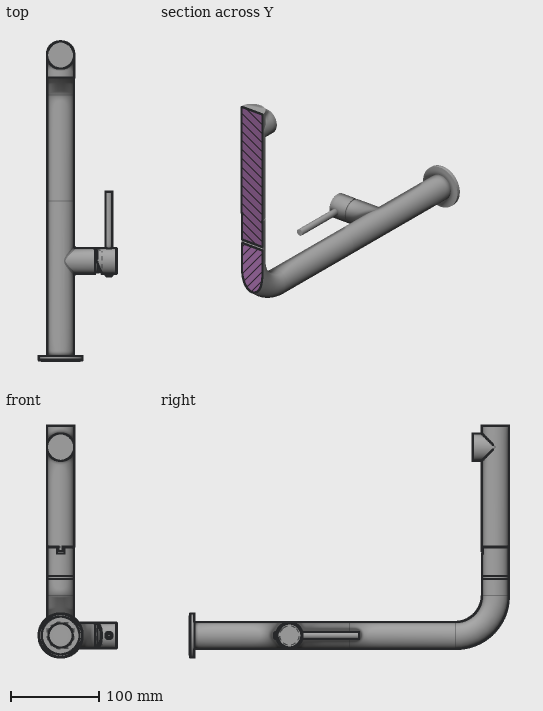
import cadquery as cq
import math


OVERALL_Y = 361.5

FLANGE_RADIUS = 25.0
FLANGE_THICKNESS = 5.0
FLANGE_CHAMFER = 0.7
SEAT_RADIUS = 21.5
SEAT_HEIGHT = 0.7
SEAT_RECESS_RADIUS = 13.7
SEAT_RECESS_DEPTH = 0.5

PIPE_RADIUS = 30.7 / 2
COLUMN_END_Y = 181.0
BEND_RADIUS = 45.0
SPOUT_TOP_Z = 99.5

HEAD_RADIUS = 15.5
SPOUT_AXIS_Y = OVERALL_Y - HEAD_RADIUS
HEAD_TOP_Z = 237.0
HEAD_BOTTOM_Z = 100.8
OUTLET_DROP = 24.2
OUTLET_REACH = 25.5
SPIGOT_RADIUS = 29.3 / 2
SPIGOT_BOTTOM_Z = 67.2
SOCKET_BOTTOM_Z = 63.5
KEY_WIDTH = 4.5
KEY_BOTTOM_Z = 95.5
NOTCH_WIDTH = 8.5
NOTCH_BOTTOM_Z = 92.5

VALVE_Y = 113.0
VALVE_RADIUS = 29.3 / 2
VALVE_END_X = 38.5
VALVE_FILLET = 1.5
NECK_RADIUS = 13.5
NECK_STRAIGHT_END_X = 42.0
NECK_TIP_X = 46.5
NECK_TIP_RADIUS = 11.0

CAP_START_X = 40.5
CAP_END_X = 63.5
CAP_CHAMFER = 1.0
CAP_RELIEF_X = 46.5
LEVER_X = 54.5
LEVER_RADIUS = 4.0
LEVER_TIP_Y = 191.5
LEVER_STUB = 3.0
LEVER_STUB_CHAMFER = 1.8


def cylinder(radius, length, start, direction):
    """A solid cylinder from a start point along a direction."""
    return cq.Workplane(cq.Solid.makeCylinder(radius, length, cq.Vector(*start), cq.Vector(*direction)))


def make_key_block(width, bottom_z):
    """A block on the -Y side of the spout, wide enough to reach through the pipe wall."""
    height = HEAD_BOTTOM_Z - bottom_z
    return cq.Workplane("XY").box(width, HEAD_RADIUS, height, centered=(True, False, False)).translate(
        (0, SPOUT_AXIS_Y - HEAD_RADIUS, bottom_z)
    )


def make_flange():
    seat = cylinder(SEAT_RADIUS, SEAT_HEIGHT, (0, 0, 0), (0, 1, 0))
    plate = cylinder(FLANGE_RADIUS, FLANGE_THICKNESS, (0, SEAT_HEIGHT, 0), (0, 1, 0))
    plate = plate.faces("<Y").chamfer(FLANGE_CHAMFER)
    recess = cylinder(SEAT_RECESS_RADIUS, SEAT_RECESS_DEPTH, (0, 0, 0), (0, 1, 0))
    return plate.union(seat).cut(recess)


def make_column():
    """Straight pipe with the valve branching off at right angles, blended at the root."""
    start_y = SEAT_HEIGHT + FLANGE_THICKNESS / 2
    column = cylinder(PIPE_RADIUS, COLUMN_END_Y - start_y, (0, start_y, 0), (0, 1, 0))
    valve = cylinder(VALVE_RADIUS, VALVE_END_X, (0, VALVE_Y, 0), (1, 0, 0))
    root_box = cq.selectors.BoxSelector(
        (0, VALVE_Y - PIPE_RADIUS, -PIPE_RADIUS),
        (PIPE_RADIUS, VALVE_Y + PIPE_RADIUS, PIPE_RADIUS),
    )
    return column.union(valve).edges(root_box).fillet(VALVE_FILLET)


def make_neck():
    """The part of the valve that shows in the gap and enters the cap."""
    return (
        cq.Workplane("XY")
        .moveTo(VALVE_END_X, 0)
        .lineTo(VALVE_END_X, NECK_RADIUS)
        .lineTo(NECK_STRAIGHT_END_X, NECK_RADIUS)
        .lineTo(NECK_TIP_X, NECK_TIP_RADIUS)
        .lineTo(NECK_TIP_X, 0)
        .close()
        .revolve(360, (0, 0, 0), (1, 0, 0))
        .translate((0, VALVE_Y, 0))
    )


def make_spout():
    """Bent pipe with a socket and a key notch for the spray head."""
    bend_start_y = SPOUT_AXIS_Y - BEND_RADIUS
    bend_middle = BEND_RADIUS * math.sqrt(0.5)
    path = (
        cq.Workplane("YZ")
        .moveTo(COLUMN_END_Y, 0)
        .lineTo(bend_start_y, 0)
        .threePointArc(
            (bend_start_y + bend_middle, BEND_RADIUS - bend_middle),
            (SPOUT_AXIS_Y, BEND_RADIUS),
        )
        .lineTo(SPOUT_AXIS_Y, SPOUT_TOP_Z)
    )
    start_plane = cq.Plane((0, COLUMN_END_Y, 0), (1, 0, 0), (0, 1, 0))
    spout = cq.Workplane(start_plane).circle(PIPE_RADIUS).sweep(path)
    socket = cylinder(
        SPIGOT_RADIUS, SPOUT_TOP_Z - SOCKET_BOTTOM_Z, (0, SPOUT_AXIS_Y, SOCKET_BOTTOM_Z), (0, 0, 1)
    )
    return spout.cut(socket).cut(make_key_block(NOTCH_WIDTH, NOTCH_BOTTOM_Z))


def make_tap_body():
    """Fixed part of the tap; the seam between column and spout is kept as an edge."""
    column = make_column().union(make_flange()).union(make_neck())
    return column.union(make_spout(), clean=False)


def make_spray_head():
    barrel = cylinder(HEAD_RADIUS, HEAD_TOP_Z - HEAD_BOTTOM_Z, (0, SPOUT_AXIS_Y, HEAD_BOTTOM_Z), (0, 0, 1))
    outlet = cylinder(HEAD_RADIUS, OUTLET_REACH, (0, SPOUT_AXIS_Y, HEAD_TOP_Z - OUTLET_DROP), (0, -1, 0))
    spigot = cylinder(
        SPIGOT_RADIUS, HEAD_BOTTOM_Z - SPIGOT_BOTTOM_Z, (0, SPOUT_AXIS_Y, SPIGOT_BOTTOM_Z), (0, 0, 1)
    )
    rounding = cylinder(HEAD_RADIUS, HEAD_TOP_Z, (0, SPOUT_AXIS_Y, 0), (0, 0, 1))
    key = make_key_block(KEY_WIDTH, KEY_BOTTOM_Z).intersect(rounding)
    return barrel.union(spigot).union(key).union(outlet)


def make_handle():
    """Cap with a slanted relief for tilting, and a lever passing through it."""
    cap = cylinder(VALVE_RADIUS, CAP_END_X - CAP_START_X, (CAP_START_X, VALVE_Y, 0), (1, 0, 0))
    cap = cap.faces(">X").chamfer(CAP_CHAMFER)
    relief = (
        cq.Workplane("XY")
        .moveTo(CAP_START_X, VALVE_Y)
        .lineTo(CAP_RELIEF_X, VALVE_Y - VALVE_RADIUS)
        .lineTo(CAP_START_X, VALVE_Y - VALVE_RADIUS)
        .close()
        .extrude(VALVE_RADIUS, both=True)
    )
    lever_start_y = VALVE_Y - VALVE_RADIUS - LEVER_STUB
    lever = cylinder(LEVER_RADIUS, LEVER_TIP_Y - lever_start_y, (LEVER_X, lever_start_y, 0), (0, 1, 0))
    lever = lever.faces("<Y").chamfer(LEVER_STUB_CHAMFER)
    return cap.cut(relief).cut(make_neck()).union(lever)


tap_body = make_tap_body()
spray_head = make_spray_head()
handle = make_handle()

result = cq.Compound.makeCompound([body.solids().val() for body in (tap_body, spray_head, handle)])